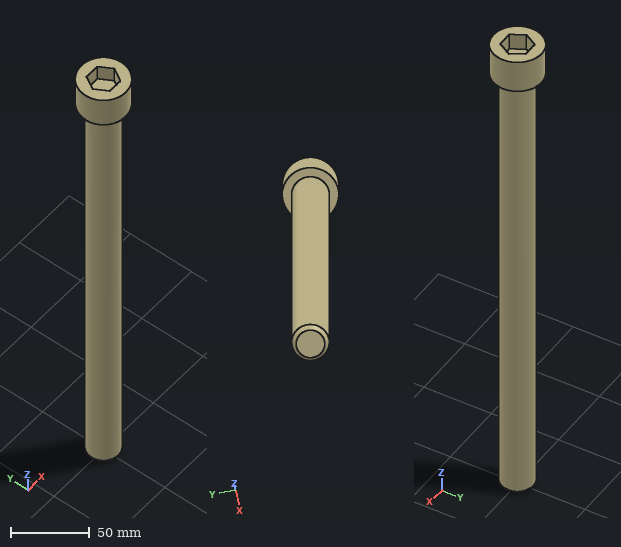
import cadquery as cq
import math

total_length = 364.0
shank_diameter = 24.0
head_diameter = 36.0
head_height = shank_diameter
shank_length = total_length - head_height

socket_across_flats = 19.0
socket_across_corners = socket_across_flats / math.cos(math.pi / 6)
socket_depth = head_height / 2

tip_chamfer = 3.0


def make_shank():
    shank = cq.Workplane("XY").circle(shank_diameter / 2).extrude(shank_length)
    return shank.faces("<Z").chamfer(tip_chamfer)


def make_head():
    return (
        cq.Workplane("XY")
        .workplane(offset=shank_length)
        .circle(head_diameter / 2)
        .extrude(head_height)
    )


def make_socket():
    return (
        cq.Workplane("XY")
        .workplane(offset=total_length)
        .polygon(6, socket_across_corners)
        .extrude(-socket_depth)
    )


result = make_shank().union(make_head()).cut(make_socket())